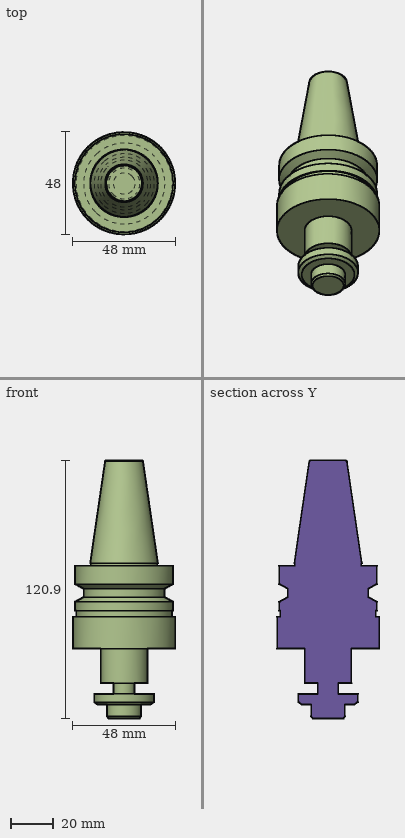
import cadquery as cq

screw_head_diameter = 16.0
screw_neck_diameter = 10.0
washer_diameter = 28.0
pilot_diameter = 22.0
body_diameter = 48.0
relief_groove_diameter = 45.0
flange_diameter = 46.0
gripper_groove_diameter = 38.0
taper_relief_diameter = 31.2
taper_large_diameter = 31.8
taper_small_diameter = 17.7

total_height = 120.9
screw_head_height = 6.5
washer_thickness = 5.0
screw_neck_length = 5.1
pilot_length = 16.1
body_length = 15.0
relief_groove_width = 2.8
lower_flange_width = 4.2
groove_flank_height = 2.2
groove_floor_width = 3.9
upper_flange_width = 8.6
taper_relief_width = 1.1

screw_chamfer_height = 1.0
screw_chamfer_inset = 0.7
washer_chamfer_height = 1.1
washer_chamfer_inset = 1.7
taper_chamfer = 0.5

washer_bottom = screw_head_height
washer_top = washer_bottom + washer_thickness
pilot_bottom = washer_top + screw_neck_length
body_bottom = pilot_bottom + pilot_length
body_top = body_bottom + body_length
lower_flange_bottom = body_top + relief_groove_width
lower_flange_top = lower_flange_bottom + lower_flange_width
groove_floor_bottom = lower_flange_top + groove_flank_height
groove_floor_top = groove_floor_bottom + groove_floor_width
upper_flange_bottom = groove_floor_top + groove_flank_height
upper_flange_top = upper_flange_bottom + upper_flange_width
taper_bottom = upper_flange_top + taper_relief_width


def cylinder(diameter, bottom, top):
    """Cylinder on the Z axis between two heights."""
    return cq.Workplane("XY").workplane(offset=bottom).circle(diameter / 2).extrude(top - bottom)


def cone(bottom_diameter, top_diameter, bottom, top):
    """Truncated cone on the Z axis between two heights."""
    outline = [
        (0, bottom),
        (bottom_diameter / 2, bottom),
        (top_diameter / 2, top),
        (0, top),
    ]
    return cq.Workplane("XZ").polyline(outline).close().revolve(360, (0, 0), (0, 1))


screw_end_diameter = screw_head_diameter - 2 * screw_chamfer_inset
screw = (
    cone(screw_end_diameter, screw_head_diameter, 0, screw_chamfer_height)
    .union(cylinder(screw_head_diameter, screw_chamfer_height, washer_bottom))
    .union(cylinder(screw_neck_diameter, washer_top, pilot_bottom))
)

washer_face_diameter = washer_diameter - 2 * washer_chamfer_inset
washer_chamfer_top = washer_bottom + washer_chamfer_height
washer = cone(washer_face_diameter, washer_diameter, washer_bottom, washer_chamfer_top).union(
    cylinder(washer_diameter, washer_chamfer_top, washer_top)
)

body = (
    cylinder(pilot_diameter, pilot_bottom, body_bottom)
    .union(cylinder(body_diameter, body_bottom, body_top))
    .union(cylinder(relief_groove_diameter, body_top, lower_flange_bottom))
)

flange = (
    cylinder(flange_diameter, lower_flange_bottom, lower_flange_top)
    .union(cone(flange_diameter, gripper_groove_diameter, lower_flange_top, groove_floor_bottom))
    .union(cylinder(gripper_groove_diameter, groove_floor_bottom, groove_floor_top))
    .union(cone(gripper_groove_diameter, flange_diameter, groove_floor_top, upper_flange_bottom))
    .union(cylinder(flange_diameter, upper_flange_bottom, upper_flange_top))
)

shank = (
    cone(taper_large_diameter, taper_small_diameter, taper_bottom, total_height)
    .faces(">Z")
    .chamfer(taper_chamfer)
    .union(cylinder(taper_relief_diameter, upper_flange_top, taper_bottom))
)

result = screw.union(washer).union(body).union(flange).union(shank)